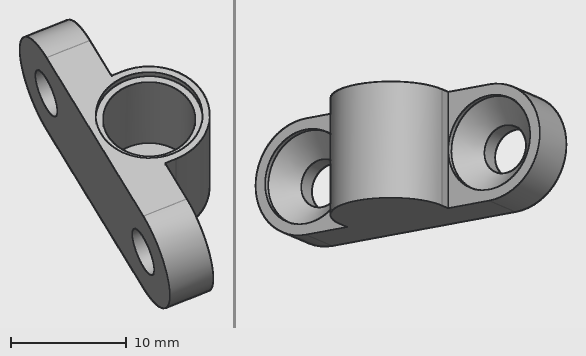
import cadquery as cq

plate_length = 29.5
plate_height = 10.5
plate_thickness = 4.2

screw_spacing = plate_length - plate_height
screw_diameter = 4.3
shank_length = 1.7
head_diameter = 8.5
head_recess_depth = 0.5

socket_diameter = 10.5
bore_diameter = 8.0
floor_thickness = 1.0
rim_diameter = 9.25
rim_depth = 0.6

socket_radius = socket_diameter / 2
plate_front = -socket_radius
plate_back = plate_front + plate_thickness
top = plate_height / 2


def make_plate():
    """Stadium plate, extruded from its front face toward +Y."""
    return (
        cq.Workplane("XZ", origin=(0, plate_front, 0))
        .slot2D(plate_length, plate_height)
        .extrude(-plate_thickness)
    )


def make_socket_body():
    """Cylinder with flat flanks running from its axis down to the plate front."""
    cylinder = cq.Workplane("XY", origin=(0, 0, -top)).circle(socket_radius).extrude(plate_height)
    flanks = (
        cq.Workplane("XY", origin=(0, 0, -top))
        .center(0, plate_front / 2)
        .rect(socket_diameter, socket_radius)
        .extrude(plate_height)
    )
    return cylinder.union(flanks)


def cut_from_top(body, diameter, depth):
    """Cut a flat-bottomed round pocket on the socket axis."""
    cutter = cq.Workplane("XY", origin=(0, 0, top)).circle(diameter / 2).extrude(-depth)
    return body.cut(cutter)


def make_screw_hole_cutter():
    """Shank hole, cone and head recess, revolved about an axis parallel to Y."""
    shank_radius = screw_diameter / 2
    head_radius = head_diameter / 2
    cone_back = plate_back - head_recess_depth
    cone_front = plate_front + shank_length
    return (
        cq.Workplane("XY")
        .moveTo(0, plate_front)
        .lineTo(shank_radius, plate_front)
        .lineTo(shank_radius, cone_front)
        .lineTo(head_radius, cone_back)
        .lineTo(head_radius, plate_back)
        .lineTo(0, plate_back)
        .close()
        .revolve(360, (0, 0, 0), (0, 1, 0))
    )


def cut_screw_holes(body):
    """Two through holes at the centres of the rounded ends."""
    cutter = make_screw_hole_cutter()
    for x in (-screw_spacing / 2, screw_spacing / 2):
        body = body.cut(cutter.translate((x, 0, 0)))
    return body


result = make_plate().union(make_socket_body())
result = cut_from_top(result, bore_diameter, plate_height - floor_thickness)
result = cut_from_top(result, rim_diameter, rim_depth)
result = cut_screw_holes(result)